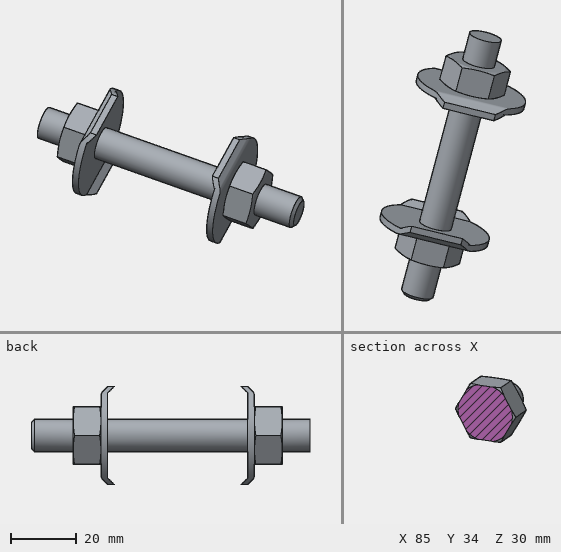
import cadquery as cq
import math

rod_length = 85.0
rod_diameter = 10.0
rod_chamfer = 1.0

nut_across_flats = 17.6
nut_thickness = 8.5
nut_face_diameter = 17.25
nut_chamfer_depth = 0.4

washer_diameter = 34.0
washer_height = 30.0
washer_thickness = 2.0
washer_lip_height = 2.0
washer_bend_radius = 2.0
bend_angle = math.radians(45)
half_bend = bend_angle / 2

seat_inset = 17.0
seat_spacing = 46.75
rod_start = -rod_length / 2
left_seat = rod_start + seat_inset
right_seat = left_seat + seat_spacing


def make_rod():
    rod = cq.Workplane("YZ", origin=(rod_start, 0, 0)).circle(rod_diameter / 2).extrude(rod_length)
    return rod.faces(">X").chamfer(rod_chamfer)


def make_nut(start):
    """Hexagon from x = start toward +X, with the corners of both faces turned down to a cone."""
    corner_diameter = nut_across_flats / math.cos(math.radians(30))
    corner_radius = corner_diameter / 2
    face_radius = nut_face_diameter / 2
    end = start + nut_thickness
    hexagon = cq.Workplane("YZ", origin=(start, 0, 0)).polygon(6, corner_diameter).extrude(nut_thickness)
    turned_blank = (
        cq.Workplane("XY")
        .moveTo(start, 0)
        .lineTo(start, face_radius)
        .lineTo(start + nut_chamfer_depth, corner_radius)
        .lineTo(end - nut_chamfer_depth, corner_radius)
        .lineTo(end, face_radius)
        .lineTo(end, 0)
        .close()
        .revolve(360, (0, 0, 0), (1, 0, 0))
    )
    return hexagon.intersect(turned_blank)


def make_washer(seat, inward):
    """Washer whose nut side is at x = seat; inward is +1 or -1, the X sense of the bent lips."""
    top = washer_height / 2
    bend = top - washer_lip_height
    tangent = washer_bend_radius * math.tan(half_bend)
    slope_step = tangent * math.cos(bend_angle)
    arc_centre = (washer_bend_radius, bend - tangent)
    arc_middle_x = arc_centre[0] - washer_bend_radius * math.cos(half_bend)
    arc_middle_z = arc_centre[1] + washer_bend_radius * math.sin(half_bend)

    def place(depth, height):
        return (seat + inward * depth, height)

    profile = (
        cq.Workplane("XZ")
        .moveTo(*place(0, tangent - bend))
        .lineTo(*place(0, bend - tangent))
        .threePointArc(place(arc_middle_x, arc_middle_z), place(slope_step, bend + slope_step))
        .lineTo(*place(washer_lip_height, top))
        .lineTo(*place(washer_lip_height + washer_thickness, top))
        .lineTo(*place(washer_thickness, bend))
        .lineTo(*place(washer_thickness, -bend))
        .lineTo(*place(washer_lip_height + washer_thickness, -top))
        .lineTo(*place(washer_lip_height, -top))
        .lineTo(*place(slope_step, -bend - slope_step))
        .threePointArc(place(arc_middle_x, -arc_middle_z), place(0, tangent - bend))
        .close()
        .extrude(washer_diameter / 2, both=True)
    )
    outline = cq.Workplane("YZ").circle(washer_diameter / 2).extrude(rod_length / 2, both=True)
    return profile.intersect(outline)


result = (
    make_rod()
    .union(make_nut(left_seat - nut_thickness))
    .union(make_washer(left_seat, 1))
    .union(make_washer(right_seat, -1))
    .union(make_nut(right_seat))
)